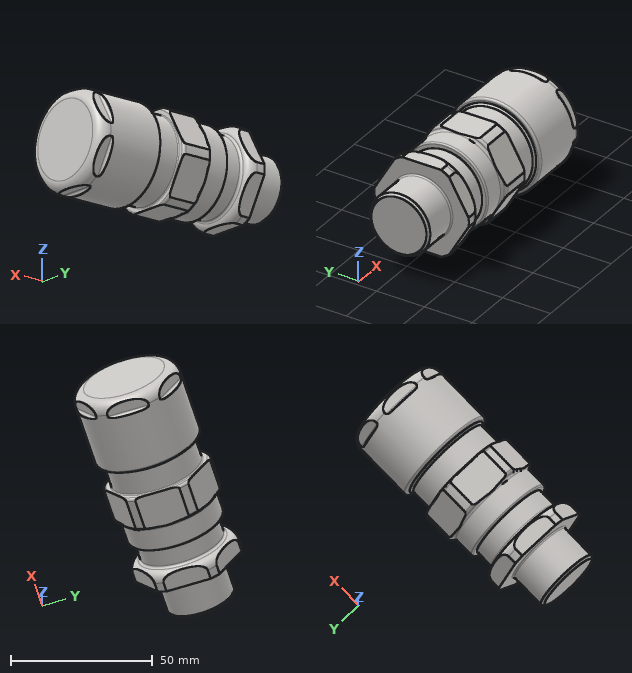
import cadquery as cq
import math

FLAT_COUNT = 6
HEX_ACROSS_FLATS = 36.0
HEX_CORNER_RADIUS = 39.5 / 2

SPIGOT_RADIUS = 25.0 / 2
SPIGOT_CHAMFER = 1.0
SPIGOT_ROOT_FILLET = 0.59
ENTRY_HEX_START = 14.95
ENTRY_HEX_ROUND_START = 18.4
ENTRY_HEX_ROUND = 3.7
ENTRY_HEX_ROOT = 1.0
NECK_RADIUS = 31.2 / 2

BODY_START = 30.3
COLLAR_RADIUS = 35.7 / 2
COLLAR_ROUND = 0.6
BODY_HEX_ROUND_END = 40.8
BODY_HEX_END = 52.45
BODY_HEX_ROUND = 1.0
TUBE_RADIUS = 33.7 / 2
TUBE_ROOT_FILLET = 0.4
TUBE_END_CHAMFER = 0.9

CAP_START = 62.6
CAP_END = 90.6
CAP_RADIUS = 39.0 / 2
CAP_FRONT_ROUND = 0.9
CAP_END_ROUND = 4.5
CAP_FLATS_START = 84.6
CAP_FLATS_FILLET = 0.9


def arc_point(center, radius, degrees):
    """Point on a circle in the half-profile plane (axial position, distance from the axis)."""
    angle = math.radians(degrees)
    return (center[0] + radius * math.cos(angle), center[1] + radius * math.sin(angle))


def shoulder_blend(round_x, rounding, base_radius, root, side):
    """Points of the S-shaped blend from a hexagon's corner radius down to a smaller cylinder.

    A convex arc of radius rounding starts at round_x.
    It runs tangentially into a concave arc of radius root.
    side is 1 for a blend on the +X side of the hexagon and -1 for one on the -X side.
    Returns start, convex middle, joint, concave middle and end.
    """
    convex_center_radius = HEX_CORNER_RADIUS - rounding
    rise = base_radius + root - convex_center_radius
    run = math.sqrt((rounding + root) ** 2 - rise ** 2)
    tilt = math.degrees(math.atan2(rise, run))

    def mirrored(center_run, center_radius, radius, degrees):
        x, r = arc_point((center_run, center_radius), radius, degrees)
        return (round_x + side * x, r)

    return [
        mirrored(0, convex_center_radius, rounding, 90),
        mirrored(0, convex_center_radius, rounding, (90 + tilt) / 2),
        mirrored(0, convex_center_radius, rounding, tilt),
        mirrored(run, base_radius + root, root, (180 + tilt + 270) / 2),
        mirrored(run, base_radius + root, root, 270),
    ]


def revolve(profile):
    """Close a half-profile and turn it about the X axis."""
    return profile.close().revolve(360, (0, 0, 0), (1, 0, 0))


def hexagonal_prism(start, end):
    """Hexagonal bar along X with two of its flats facing +Z and -Z."""
    across_corners = HEX_ACROSS_FLATS / math.cos(math.pi / FLAT_COUNT)
    return cq.Workplane("YZ").workplane(offset=start).polygon(FLAT_COUNT, across_corners).extrude(end - start)


def make_entry():
    """Entry: spigot, trimmed hexagon and neck, ending against the collar of the body."""
    fillet_center = (ENTRY_HEX_START - SPIGOT_ROOT_FILLET, SPIGOT_RADIUS + SPIGOT_ROOT_FILLET)
    blend = shoulder_blend(ENTRY_HEX_ROUND_START, ENTRY_HEX_ROUND, NECK_RADIUS, ENTRY_HEX_ROOT, 1)
    round_start, round_middle, joint, root_middle, root_end = blend
    profile = (
        cq.Workplane("XY")
        .moveTo(0, 0)
        .lineTo(0, SPIGOT_RADIUS - SPIGOT_CHAMFER)
        .lineTo(SPIGOT_CHAMFER, SPIGOT_RADIUS)
        .lineTo(fillet_center[0], SPIGOT_RADIUS)
        .threePointArc(
            arc_point(fillet_center, SPIGOT_ROOT_FILLET, -45),
            (ENTRY_HEX_START, fillet_center[1]),
        )
        .lineTo(ENTRY_HEX_START, HEX_CORNER_RADIUS)
        .lineTo(*round_start)
        .threePointArc(round_middle, joint)
        .threePointArc(root_middle, root_end)
        .lineTo(BODY_START, NECK_RADIUS)
        .lineTo(BODY_START, 0)
    )
    return revolve(profile).intersect(hexagonal_prism(0, BODY_START))


def make_body():
    """Gland body: collar, trimmed hexagon and tube, whose flared end meets the cap."""
    collar_round_center = (BODY_START + COLLAR_ROUND, COLLAR_RADIUS - COLLAR_ROUND)
    blend = shoulder_blend(BODY_HEX_ROUND_END, BODY_HEX_ROUND, COLLAR_RADIUS, BODY_HEX_ROUND, -1)
    round_end, round_middle, joint, root_middle, root_start = blend
    back_round_center = (BODY_HEX_END - BODY_HEX_ROUND, HEX_CORNER_RADIUS - BODY_HEX_ROUND)
    root_center = (BODY_HEX_END + TUBE_ROOT_FILLET, TUBE_RADIUS + TUBE_ROOT_FILLET)
    profile = (
        cq.Workplane("XY")
        .moveTo(BODY_START, 0)
        .lineTo(BODY_START, collar_round_center[1])
        .threePointArc(
            arc_point(collar_round_center, COLLAR_ROUND, 135),
            (collar_round_center[0], COLLAR_RADIUS),
        )
        .lineTo(*root_start)
        .threePointArc(root_middle, joint)
        .threePointArc(round_middle, round_end)
        .lineTo(back_round_center[0], HEX_CORNER_RADIUS)
        .threePointArc(
            arc_point(back_round_center, BODY_HEX_ROUND, 45),
            (BODY_HEX_END, back_round_center[1]),
        )
        .lineTo(BODY_HEX_END, root_center[1])
        .threePointArc(
            arc_point(root_center, TUBE_ROOT_FILLET, 225),
            (root_center[0], TUBE_RADIUS),
        )
        .lineTo(CAP_START - TUBE_END_CHAMFER, TUBE_RADIUS)
        .lineTo(CAP_START, TUBE_RADIUS + TUBE_END_CHAMFER)
        .lineTo(CAP_START, 0)
    )
    return revolve(profile).intersect(hexagonal_prism(BODY_START, CAP_START))


def cap_flat_cutter():
    """Block that mills the +Z flat at the cap's end, leaving a fillet at its inner edge."""
    flat_height = HEX_ACROSS_FLATS / 2
    block = cq.Workplane("XY").box(
        CAP_END - CAP_FLATS_START, 2 * CAP_RADIUS, CAP_RADIUS, centered=(False, True, False)
    )
    block = block.edges("<X and <Z").fillet(CAP_FLATS_FILLET)
    return block.translate((CAP_FLATS_START, 0, flat_height))


def make_cap():
    """Cap: rounded barrel with a ring of flats at its far end."""
    length = CAP_END - CAP_START
    barrel = cq.Workplane("YZ").workplane(offset=CAP_START).circle(CAP_RADIUS).extrude(length)
    barrel = barrel.faces("<X").edges().fillet(CAP_FRONT_ROUND)
    barrel = barrel.faces(">X").edges().fillet(CAP_END_ROUND)
    for flat in range(FLAT_COUNT):
        angle = flat * 360 / FLAT_COUNT
        barrel = barrel.cut(cap_flat_cutter().rotate((0, 0, 0), (1, 0, 0), angle))
    return barrel


entry = make_entry()
body = make_body()
cap = make_cap()

result = cq.Compound.makeCompound([entry.val(), body.val(), cap.val()])